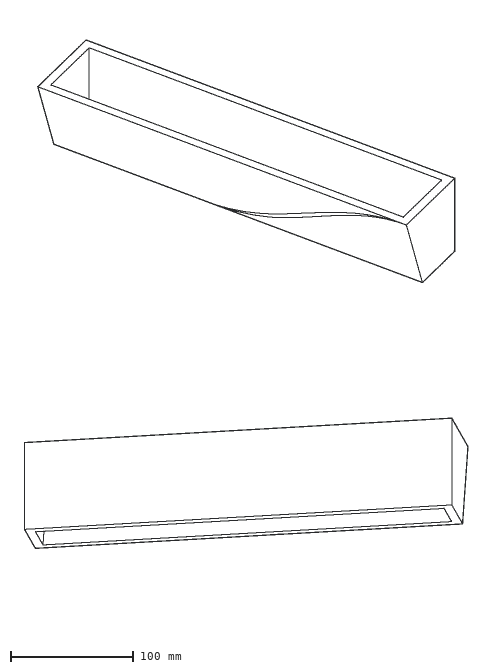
import cadquery as cq
import math

length = 355.0
height = 75.0
top_depth = 75.0
bottom_depth = 50.0
wall = 7.8

wave_start = 146.3
wave_bulge = 6.7
wave_overlap = 3.5
wave_stations = 24

lean = top_depth - bottom_depth


def make_trough():
    """Trough of constant wall thickness with a leaning front."""
    outer = [(0, 0), (lean, -height), (top_depth, -height), (top_depth, 0)]
    inner = [(wall, 0), (lean + wall, -height), (top_depth - wall, -height), (top_depth - wall, 0)]
    lift = cq.Workplane("YZ", origin=(0, 0, height))
    body = lift.polyline(outer).close().extrude(length)
    cavity = lift.workplane(offset=wall).polyline(inner).close().extrude(length - 2 * wall)
    return body.cut(cavity)


def wave_points():
    """(x, rise) along the wave; rise goes smoothly from 0 at the start to 1 at the end."""
    points = []
    for i in range(wave_stations + 1):
        fraction = i / wave_stations
        x = wave_start + (length - wave_start) * fraction
        points.append((x, (1 - math.cos(math.pi * fraction)) / 2))
    return points


def make_wave_body():
    """Twisted body whose straight front lines run from the bottom edge up to full height.

    Cut off at height * rise, its front stands out 4 * wave_bulge * rise * (1 - rise)
    from the leaning wall.
    """
    foot = cq.Workplane("XY").moveTo(wave_start, lean).lineTo(length, lean)
    foot = foot.lineTo(length, lean + wave_overlap).lineTo(wave_start, lean + wave_overlap).close()
    front = [(x, -4 * wave_bulge * (1 - rise)) for x, rise in wave_points()]
    head = cq.Workplane("XY", origin=(0, 0, height)).moveTo(*front[0])
    head = head.spline(front[1:], tangents=[(1, 0), (1, 0)], includeCurrent=True)
    head = head.lineTo(length, wave_overlap).lineTo(wave_start, wave_overlap).close()
    return cq.Workplane(obj=cq.Solid.makeLoft([foot.val(), head.val()], True))


def make_wave():
    """Part of the twisted body below the S-curve, leaving an upward-facing ledge along the lip."""
    crest = [(x, height * rise) for x, rise in wave_points()]
    below_crest = (
        cq.Workplane("XZ", origin=(0, top_depth, 0))
        .moveTo(*crest[0])
        .spline(crest[1:], tangents=[(1, 0), (1, 0)], includeCurrent=True)
        .lineTo(length, 0)
        .close()
        .extrude(2 * top_depth)
    )
    return make_wave_body().intersect(below_crest)


result = make_trough().union(make_wave())